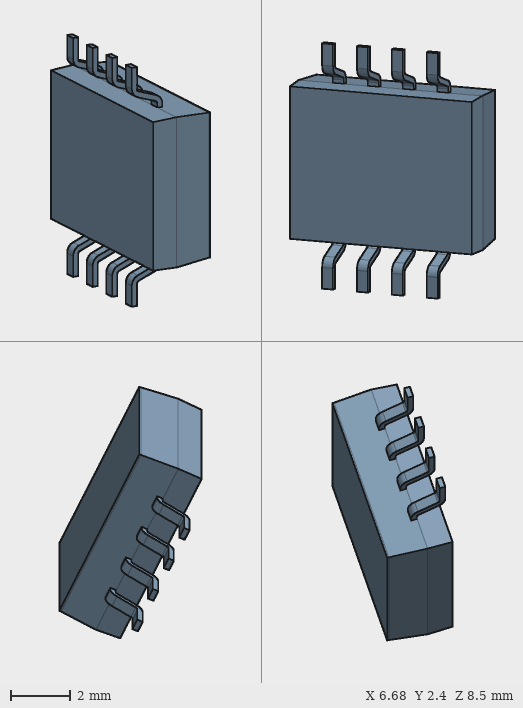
import cadquery as cq
import math

body_width = 6.68
body_height = 5.355
front_inset = 0.03
back_inset = 0.09
back_rim = 0.05

body_front = 0.1
parting_plane = 1.0
body_back = 2.4

lead_count = 4
lead_pitch = 1.27
lead_width = 0.4
lead_thickness = 0.2
lead_span = 8.5
foot_length = 0.75
bend_angle = math.radians(70)
outer_bend_radius = 0.36
inner_bend_radius = 0.1
lead_embed = 0.17


def body_section(depth, inset):
    """Rectangle across the body at one depth, drawn in by the inset on every side."""
    plane = cq.Plane(origin=(0, depth, 0), xDir=(1, 0, 0), normal=(0, 1, 0))
    return cq.Workplane(plane).rect(body_width - 2 * inset, body_height - 2 * inset)


def tapered_block(start, end, start_inset, end_inset):
    """Solid between two depths whose cross-section changes evenly."""
    start_wire = body_section(start, start_inset).val()
    end_wire = body_section(end, end_inset).val()
    return cq.Workplane(cq.Solid.makeLoft([start_wire, end_wire], True))


def make_body():
    rim_start = body_back - back_rim
    front_half = tapered_block(body_front, parting_plane, front_inset, 0)
    back_half = tapered_block(parting_plane, rim_start, 0, back_inset)
    rim = body_section(rim_start, back_inset).extrude(back_rim)
    return front_half.union(back_half).union(rim)


def make_lead():
    """Upper lead at X = 0: shank, bend forward, sloping arm, bend back up, foot."""
    shank_front = parting_plane
    shank_back = shank_front + lead_thickness
    root_z = body_height / 2 - lead_embed
    tip_z = lead_span / 2

    face_offset = lead_thickness * math.tan(bend_angle / 2)
    arm_rise = shank_front / math.tan(bend_angle)
    foot_outer = (0, tip_z - foot_length - outer_bend_radius * math.tan(bend_angle / 2))
    foot_inner = (lead_thickness, foot_outer[1] + face_offset)
    shank_inner = (shank_front, foot_outer[1] - arm_rise)
    shank_outer = (shank_back, shank_inner[1] + face_offset)

    lead = (
        cq.Workplane("YZ")
        .polyline([
            (shank_front, root_z),
            shank_inner,
            foot_outer,
            (0, tip_z),
            (lead_thickness, tip_z),
            foot_inner,
            shank_outer,
            (shank_back, root_z),
        ])
        .close()
        .extrude(lead_width / 2, both=True)
    )
    corner_radii = (
        (foot_outer, outer_bend_radius),
        (shank_outer, outer_bend_radius),
        (foot_inner, inner_bend_radius),
        (shank_inner, inner_bend_radius),
    )
    for (y, z), radius in corner_radii:
        corner = cq.selectors.NearestToPointSelector((0, y, z))
        lead = lead.edges("|X").edges(corner).fillet(radius)
    return lead


result = make_body()
upper_lead = make_lead()
lower_lead = upper_lead.mirror("XY")
for index in range(lead_count):
    lead_x = (index - (lead_count - 1) / 2) * lead_pitch
    for lead in (upper_lead, lower_lead):
        result = result.union(lead.translate((lead_x, 0, 0)))